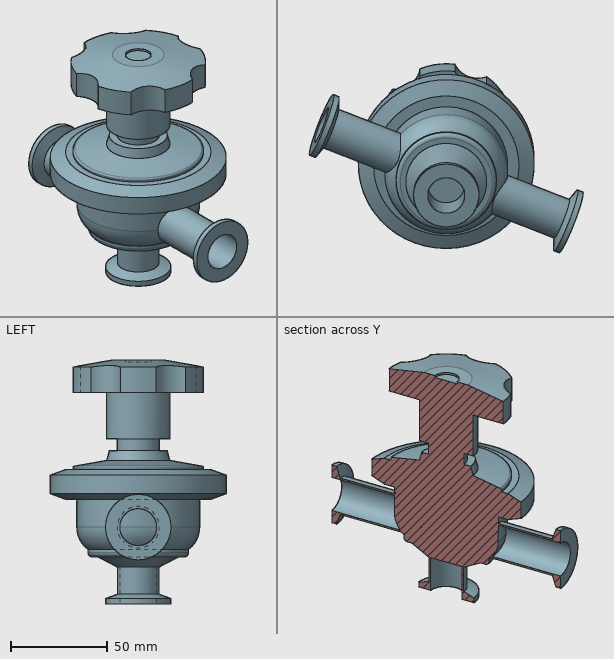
import cadquery as cq
import math

length = 140.0
port_height = 40.0

pipe_radius = 21.7 / 2
bore_radius = 19.2 / 2
ferrule_radius = 34.0 / 2
ferrule_rim = 3.0
ferrule_depth = 5.2
neck_height = 19.2

bowl_radius = 64.0 / 2
bowl_foot_radius = 25.9
bowl_foot_height = 28.3
foot_ring_radius = 52.4 / 2
foot_ring_bottom = 24.5
foot_ring_top = bowl_foot_height
foot_ring_rounding = 2.2
foot_cone_radius = 21.0

clamp_radius = 91.5 / 2
clamp_face_radius = 37.8
clamp_bottom = 54.5
clamp_top = 70.0
clamp_bevel = 3.0

bonnet_radius = 68.0 / 2
bonnet_edge_height = 0.8
bonnet_rounding = 1.0
collar_base_height = 74.8
collar_base_radius = 33.0 / 2
collar_top_radius = 15.1
collar_top = 79.8
stem_radius = 22.0 / 2
sleeve_bottom = 86.0
sleeve_radius = 33.0 / 2

knob_radius = 35.0
knob_bottom = 109.9
knob_edge_top = 123.2
knob_top = 127.0
knob_flat_radius = 13.5
recess_radius = 13.5 / 2
recess_depth = 1.1
scallop_count = 6
scallop_radius = 12.5
scallop_floor = 30.1


def revolve_profile(profile):
    """Turn a closed radius-height profile about the Z axis."""
    return profile.close().revolve(360, (0, 0, 0), (0, 1, 0))


def ferruled_pipe(pipe_length):
    """Solid pipe rising from a ferrule whose sealing face is at Z = 0."""
    return revolve_profile(
        cq.Workplane("XZ")
        .lineTo(ferrule_radius, 0)
        .lineTo(ferrule_radius, ferrule_rim)
        .lineTo(pipe_radius, ferrule_depth)
        .lineTo(pipe_radius, pipe_length)
        .lineTo(0, pipe_length)
    )


def pipe_bore(bore_length):
    return cq.Workplane("XY").circle(bore_radius).extrude(bore_length)


def place_side_port(body, side):
    """Lay a Z-direction body along X, its sealing face at one end of the valve."""
    return body.rotate((0, 0, 0), (0, 1, 0), -side * 90).translate((side * length / 2, 0, port_height))


def bowl():
    drop = port_height - bowl_foot_height
    inset = bowl_radius - bowl_foot_radius
    arc_radius = (drop**2 + inset**2) / (2 * inset)
    half_angle = math.asin(drop / arc_radius) / 2
    arc_mid = (
        bowl_radius - arc_radius * (1 - math.cos(half_angle)),
        port_height - arc_radius * math.sin(half_angle),
    )
    return revolve_profile(
        cq.Workplane("XZ")
        .moveTo(0, neck_height)
        .lineTo(pipe_radius, neck_height)
        .lineTo(foot_cone_radius, foot_ring_bottom)
        .lineTo(foot_ring_radius - foot_ring_rounding, foot_ring_bottom)
        .radiusArc((foot_ring_radius, foot_ring_bottom + foot_ring_rounding), -foot_ring_rounding)
        .lineTo(foot_ring_radius, foot_ring_top)
        .lineTo(bowl_foot_radius, bowl_foot_height)
        .threePointArc(arc_mid, (bowl_radius, port_height))
        .lineTo(bowl_radius, clamp_bottom)
        .lineTo(0, clamp_bottom)
    )


def clamp_and_bonnet():
    """Clamp ring, domed bonnet, stem collar, stem and knob sleeve."""
    bonnet_rounding_start = clamp_top + bonnet_edge_height
    return revolve_profile(
        cq.Workplane("XZ")
        .moveTo(0, clamp_bottom)
        .lineTo(clamp_face_radius, clamp_bottom)
        .lineTo(clamp_radius, clamp_bottom + clamp_bevel)
        .lineTo(clamp_radius, clamp_top - clamp_bevel)
        .lineTo(clamp_face_radius, clamp_top)
        .lineTo(bonnet_radius, clamp_top)
        .lineTo(bonnet_radius, bonnet_rounding_start)
        .radiusArc((bonnet_radius - bonnet_rounding, bonnet_rounding_start + bonnet_rounding), -bonnet_rounding)
        .lineTo(collar_base_radius, collar_base_height)
        .lineTo(collar_top_radius, collar_top)
        .lineTo(stem_radius, collar_top)
        .lineTo(stem_radius, sleeve_bottom)
        .lineTo(sleeve_radius, sleeve_bottom)
        .lineTo(sleeve_radius, knob_bottom)
        .lineTo(0, knob_bottom)
    )


def knob():
    body = revolve_profile(
        cq.Workplane("XZ")
        .moveTo(0, knob_bottom)
        .lineTo(knob_radius, knob_bottom)
        .lineTo(knob_radius, knob_edge_top)
        .lineTo(knob_flat_radius, knob_top)
        .lineTo(recess_radius, knob_top)
        .lineTo(recess_radius, knob_top - recess_depth)
        .lineTo(0, knob_top - recess_depth)
    )
    scallops = (
        cq.Workplane("XY", origin=(0, 0, knob_bottom))
        .polarArray(scallop_floor + scallop_radius, 90, 360, scallop_count)
        .circle(scallop_radius)
        .extrude(knob_top - knob_bottom)
    )
    return body.cut(scallops)


ports = ferruled_pipe(neck_height).cut(pipe_bore(neck_height))
for side in (-1, 1):
    pipe = place_side_port(ferruled_pipe(length / 2), side)
    bore = place_side_port(pipe_bore(length / 2), side)
    ports = ports.union(pipe.cut(bore))

result = ports.union(bowl()).union(clamp_and_bonnet()).union(knob())